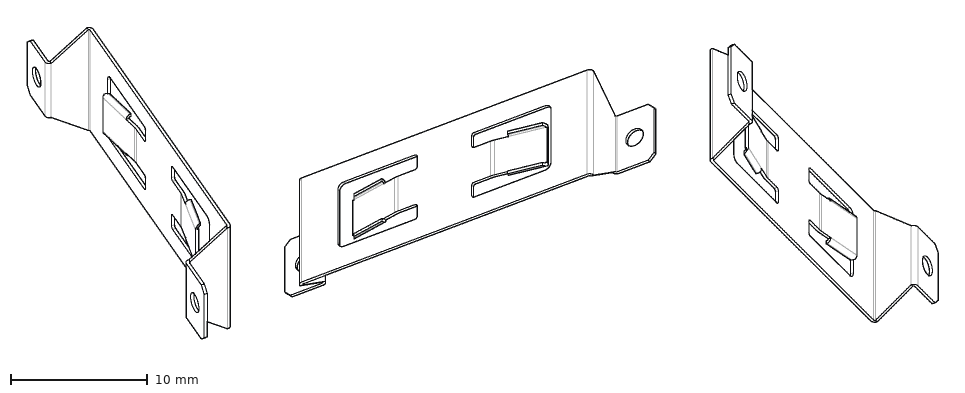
import cadquery as cq
import math

thickness = 0.25
inner_bend_radius = 0.1
outer_bend_radius = inner_bend_radius + thickness

total_length = 32.0
total_depth = 3.68
plate_height = 9.55
leg_outer_x = 12.7

flange_height = 5.12
flange_chamfer = 0.5
hole_diameter = 1.5
hole_x = 14.3

window_inner_x = 2.37
window_outer_x = 9.2
window_height = 5.9
window_inner_radius = 0.2
window_outer_radius = 0.5

tongue_width = 3.2
tongue_bend_x = 4.0
tongue_bend_radius = 1.6
tongue_angle = 10.0
tongue_flat_length = 4.15

ear_length = 3.07
ear_depth = 0.45
ear_chamfer_length = 0.3
ear_chamfer_depth = 0.32

half_length = total_length / 2
plate_front_y = -thickness
flange_front_y = -total_depth
flange_back_y = flange_front_y + thickness
leg_inner_x = leg_outer_x - thickness
diagonal = math.sqrt(0.5)


def bent_strip():
    """Right half of the plate, leg and flange as one bent strip of full height."""
    plate_bend_x = leg_outer_x - outer_bend_radius
    plate_bend_y = -outer_bend_radius
    flange_bend_x = leg_outer_x + inner_bend_radius
    flange_bend_y = flange_front_y + outer_bend_radius
    outer_mid = outer_bend_radius * diagonal
    inner_mid = inner_bend_radius * diagonal
    return (
        cq.Workplane("XY")
        .moveTo(0, 0)
        .lineTo(plate_bend_x, 0)
        .threePointArc((plate_bend_x + outer_mid, plate_bend_y + outer_mid), (leg_outer_x, plate_bend_y))
        .lineTo(leg_outer_x, flange_bend_y)
        .threePointArc((flange_bend_x - inner_mid, flange_bend_y - inner_mid), (flange_bend_x, flange_back_y))
        .lineTo(half_length, flange_back_y)
        .lineTo(half_length, flange_front_y)
        .lineTo(flange_bend_x, flange_front_y)
        .threePointArc((flange_bend_x - outer_mid, flange_bend_y - outer_mid), (leg_inner_x, flange_bend_y))
        .lineTo(leg_inner_x, plate_bend_y)
        .threePointArc((plate_bend_x + inner_mid, plate_bend_y + inner_mid), (plate_bend_x, plate_front_y))
        .lineTo(0, plate_front_y)
        .close()
        .extrude(plate_height / 2, both=True)
    )


def leg_taper():
    """Side silhouette: each leg narrows from the plate height to the flange height."""
    taper_start_y = -outer_bend_radius
    taper_end_y = flange_front_y + outer_bend_radius
    half_plate = plate_height / 2
    half_flange = flange_height / 2
    return (
        cq.Workplane("YZ")
        .polyline([
            (0, -half_plate),
            (0, half_plate),
            (taper_start_y, half_plate),
            (taper_end_y, half_flange),
            (flange_front_y, half_flange),
            (flange_front_y, -half_flange),
            (taper_end_y, -half_flange),
            (taper_start_y, -half_plate),
        ])
        .close()
        .extrude(half_length)
    )


def mounting_hole():
    return (
        cq.Workplane("XZ")
        .center(hole_x, 0)
        .circle(hole_diameter / 2)
        .extrude(total_depth)
    )


def window():
    """C-shaped opening that leaves the root of the tongue attached to the plate."""
    half_window = window_height / 2
    half_tongue = tongue_width / 2
    return (
        cq.Workplane("XZ")
        .polyline([
            (window_outer_x, -half_window),
            (window_inner_x, -half_window),
            (window_inner_x, -half_tongue),
            (tongue_bend_x, -half_tongue),
            (tongue_bend_x, half_tongue),
            (window_inner_x, half_tongue),
            (window_inner_x, half_window),
            (window_outer_x, half_window),
        ])
        .close()
        .extrude(thickness)
        .edges("|Y and <X")
        .fillet(window_inner_radius)
        .edges("|Y and >X")
        .fillet(window_outer_radius)
    )


def upper_ear(tip_x):
    """Ear along the upper edge of a tongue that still lies flat in the plate."""
    edge_z = tongue_width / 2
    bend_y = plate_front_y + outer_bend_radius
    end_y = plate_front_y + ear_depth
    outer_mid = outer_bend_radius * diagonal
    inner_mid = inner_bend_radius * diagonal
    ear = (
        cq.Workplane("YZ", origin=(tip_x - ear_length, 0, 0))
        .moveTo(plate_front_y, edge_z)
        .threePointArc((bend_y - outer_mid, edge_z + outer_mid), (bend_y, edge_z + outer_bend_radius))
        .lineTo(end_y, edge_z + outer_bend_radius)
        .lineTo(end_y, edge_z + inner_bend_radius)
        .lineTo(bend_y, edge_z + inner_bend_radius)
        .threePointArc((bend_y - inner_mid, edge_z + inner_mid), (0, edge_z))
        .close()
        .extrude(ear_length)
    )
    corner = (
        cq.Workplane("XY")
        .polyline([(tip_x, end_y), (tip_x - ear_chamfer_length, end_y), (tip_x, end_y - ear_chamfer_depth)])
        .close()
        .extrude(plate_height)
    )
    return ear.cut(corner)


def tongue():
    """Tongue with its two ears, swung forward about the centre of its root bend."""
    tip_x = tongue_bend_x + tongue_flat_length
    bend_y = plate_front_y - tongue_bend_radius
    flat = (
        cq.Workplane("XY")
        .box(tongue_flat_length, thickness, tongue_width, centered=(False, False, True))
        .translate((tongue_bend_x, plate_front_y, 0))
    )
    ear = upper_ear(tip_x)
    swung = (
        flat.union(ear)
        .union(ear.mirror("XY"))
        .rotate((tongue_bend_x, bend_y, 0), (tongue_bend_x, bend_y, 1), -tongue_angle)
    )
    mid_radius = tongue_bend_radius + thickness / 2
    root_bend = (
        cq.Workplane("YZ", origin=(tongue_bend_x, 0, 0))
        .center(plate_front_y + thickness / 2, 0)
        .rect(thickness, tongue_width)
        .revolve(tongue_angle, (-mid_radius, 0.32), (-mid_radius, 0))
    )
    return root_bend.union(swung)


flange_corners = cq.selectors.BoxSelector(
    (half_length - thickness, flange_front_y, -plate_height),
    (half_length + thickness, flange_back_y, plate_height),
)
half_bracket = (
    bent_strip()
    .intersect(leg_taper())
    .edges("|Y")
    .edges(flange_corners)
    .chamfer(flange_chamfer)
    .cut(mounting_hole())
    .cut(window())
    .union(tongue())
)

result = half_bracket.union(half_bracket.mirror("YZ")).clean()